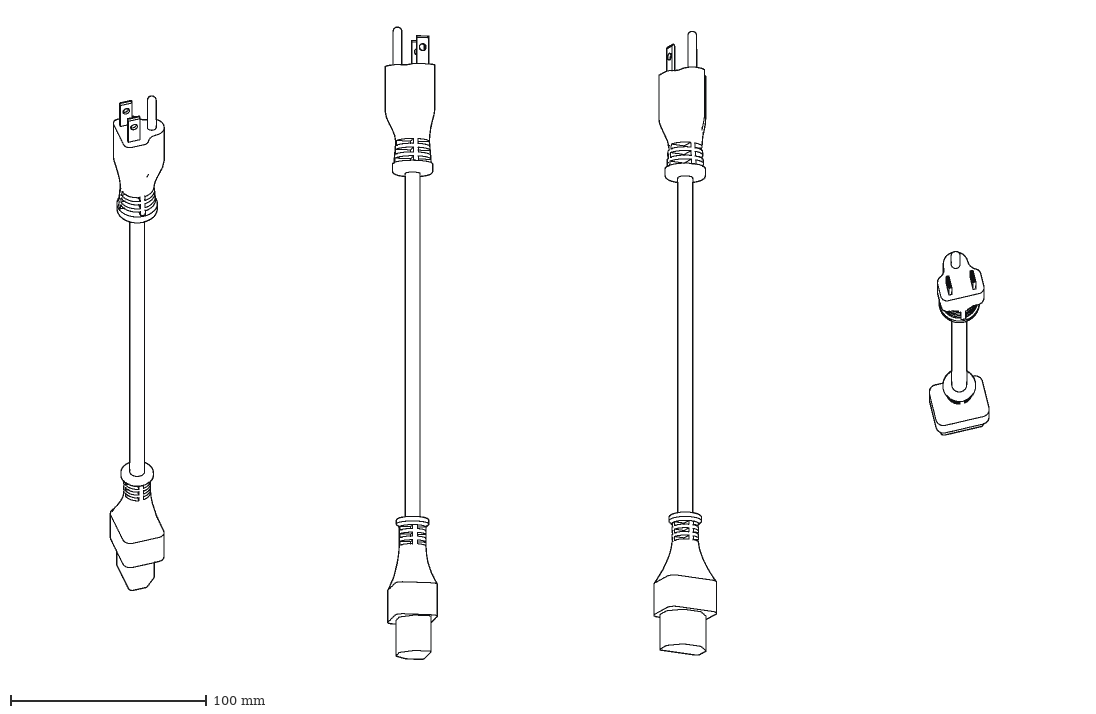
import cadquery as cq
import math


cord_diameter = 7.7
cord_length = 180.6

insert_width = 22.8
insert_depth = 15.7
insert_height = 18.5
insert_corner_radius = 2.0
insert_chamfer = 6.4
shell_width = 28.0
shell_depth = 22.0
shell_height = 16.7
shell_corner_radius = 4.0
connector_taper_height = 21.6
connector_neck_radius = 6.9
connector_slot_height = 2.0
connector_slot_pitch = 3.95
flange_radius = 8.4
flange_cone_height = 1.6
flange_rim_height = 2.6
flange_fillet = 0.9

plug_width = 22.8
plug_front = 10.0
plug_corner_radius = 3.3
ground_offset = 7.9
ground_lobe_radius = 6.4
plug_block_height = 22.7
plug_taper_height = 15.95
boot_top_radius = 8.7
boot_bottom_radius = 9.7
plug_slot_height = 2.55
plug_slot_pitch = 4.6
collar_radius = 10.4
collar_height = 4.9
collar_fillet = 1.4

ground_pin_diameter = 4.6
ground_pin_length = 20.89
blade_spacing = 12.7
ground_to_blades = 11.9
blade_width = 6.35
blade_thickness = 1.5
blade_length = 15.5
blade_tip_bevel = 0.5
blade_tip_height = 1.0
blade_hole_diameter = 3.5
blade_hole_below_tip = 5.9

slot_count = 3
spine_width = 2.5

shell_z = insert_height
connector_taper_z = shell_z + shell_height
connector_neck_z = connector_taper_z + connector_taper_height
connector_neck_height = (slot_count - 1) * connector_slot_pitch + connector_slot_height
flange_z = connector_neck_z + connector_neck_height
cord_z = flange_z + flange_cone_height + flange_rim_height
plug_z = cord_z + cord_length
boot_z = plug_z + collar_height
boot_height = (slot_count - 1) * plug_slot_pitch + plug_slot_height
plug_taper_z = boot_z + boot_height
plug_block_z = plug_taper_z + plug_taper_height
plug_face_z = plug_block_z + plug_block_height


def arc_point(center, radius, degrees):
    angle = math.radians(degrees)
    return (center[0] + radius * math.cos(angle), center[1] + radius * math.sin(angle))


def midpoint(a, b):
    return ((a[0] + b[0]) / 2, (a[1] + b[1]) / 2)


def chain_from_arcs(arcs):
    """Chain arcs (start, middle, end) in order, adding straight edges across the gaps."""
    gap_tolerance = 1e-6
    chain = []
    for index, (start, middle, end) in enumerate(arcs):
        chain.append((start, middle, True))
        following = arcs[(index + 1) % len(arcs)][0]
        if math.dist(end, following) > gap_tolerance:
            chain.append((end, midpoint(end, following), False))
    return chain


def arc(center, radius, first_angle, last_angle):
    angles = (first_angle, (first_angle + last_angle) / 2, last_angle)
    return tuple(arc_point(center, radius, angle) for angle in angles)


def shell_outline():
    x = shell_width / 2 - shell_corner_radius
    y = shell_depth / 2 - shell_corner_radius
    centers = [(x, y), (-x, y), (-x, -y), (x, -y)]
    corners = []
    for quarter, center in enumerate(centers):
        corners.append(arc(center, shell_corner_radius, 90 * quarter, 90 * quarter + 90))
    return chain_from_arcs(corners)


def plug_outline():
    """Flat front with round corners; each side runs through an S of two arcs into the ground lobe."""
    half_width = plug_width / 2
    sweep = 2 * math.atan((half_width - ground_lobe_radius) / ground_offset)
    degrees = math.degrees(sweep)
    r = plug_corner_radius
    neck_radius = ground_offset / math.sin(sweep) - r
    x = half_width - r
    y = r - plug_front
    neck_x = ground_lobe_radius + neck_radius
    arcs = [
        arc((x, 0), r, 0, degrees),
        arc((neck_x, ground_offset), neck_radius, 180 + degrees, 180),
        arc((0, ground_offset), ground_lobe_radius, 0, 180),
        arc((-neck_x, ground_offset), neck_radius, 0, -degrees),
        arc((-x, 0), r, 180 - degrees, 180),
        arc((-x, y), r, 180, 270),
        arc((x, y), r, 270, 360),
    ]
    return chain_from_arcs(arcs)


def outline_wire(chain, z):
    edges = []
    for index, (start, middle, is_arc) in enumerate(chain):
        end = chain[(index + 1) % len(chain)][0]
        a, m, b = (cq.Vector(p[0], p[1], z) for p in (start, middle, end))
        edges.append(cq.Edge.makeThreePointArc(a, m, b) if is_arc else cq.Edge.makeLine(a, b))
    return cq.Wire.assembleEdges(edges)


def prism(chain, z, height):
    return cq.Workplane(cq.Solid.extrudeLinear(outline_wire(chain, z), [], cq.Vector(0, 0, height)))


def toward_circle(point, radius, share):
    """Move a point along its ray from the axis, by a share of its way to the circle."""
    distance = math.hypot(*point)
    scale = 1 + share * (radius / distance - 1)
    return (point[0] * scale, point[1] * scale)


def taper(chain, radius, outline_z, circle_z, roundness):
    """Loft from an outline to a circle; roundness gives the share of circle along the way."""
    steps = 5
    wires = []
    for step in range(steps + 1):
        way = step / steps
        share = roundness(way)
        z = outline_z + way * (circle_z - outline_z)
        section = []
        for start, middle, is_arc in chain:
            section.append((
                toward_circle(start, radius, share),
                toward_circle(middle, radius, share),
                is_arc or step > 0,
            ))
        wires.append(outline_wire(section, z))
    return cq.Workplane(cq.Solid.makeLoft(wires))


def flaring(way):
    flare_power = 1.6
    return 1 - (1 - way) ** flare_power


def s_curve(way):
    return way * way * (3 - 2 * way)


def slots(first_z, pitch, height, reach):
    """Strain-relief slots: all four quadrants at each level, leaving a cross between them."""
    corner = (reach + spine_width) / 2
    quadrants = [(sx * corner, sy * corner) for sx in (-1, 1) for sy in (-1, 1)]
    cut = cq.Workplane()
    for level in range(slot_count):
        plane = cq.Workplane("XY", origin=(0, 0, first_z + level * pitch))
        cut = cut.add(plane.pushPoints(quadrants).rect(reach, reach).extrude(height))
    return cut.combine()


def make_connector():
    insert = (
        cq.Workplane("XY")
        .rect(insert_width, insert_depth)
        .extrude(shell_z)
        .edges("|Z and >Y")
        .chamfer(insert_chamfer)
        .edges("|Z")
        .fillet(insert_corner_radius)
    )
    shell = prism(shell_outline(), shell_z, shell_height)
    flare = taper(shell_outline(), connector_neck_radius, connector_taper_z, connector_neck_z, flaring)
    neck = (
        cq.Workplane("XY", origin=(0, 0, connector_neck_z))
        .circle(connector_neck_radius)
        .extrude(connector_neck_height)
        .cut(slots(connector_neck_z, connector_slot_pitch, connector_slot_height, flange_radius))
    )
    rim_z = flange_z + flange_cone_height
    flange = (
        cq.Workplane("XZ")
        .moveTo(0, flange_z)
        .lineTo(connector_neck_radius, flange_z)
        .lineTo(flange_radius, rim_z)
        .lineTo(flange_radius, cord_z)
        .lineTo(0, cord_z)
        .close()
        .revolve(360, (0, 0, 0), (0, 1, 0))
        .faces(">Z")
        .edges()
        .fillet(flange_fillet)
    )
    return insert.union(shell).union(flare).union(neck).union(flange)


def make_cord():
    return cq.Workplane("XY", origin=(0, 0, cord_z)).circle(cord_diameter / 2).extrude(cord_length)


def make_boot():
    collar = (
        cq.Workplane("XY", origin=(0, 0, plug_z))
        .circle(collar_radius)
        .extrude(collar_height)
        .faces("<Z")
        .edges()
        .fillet(collar_fillet)
    )
    sleeve = (
        cq.Workplane("XY", origin=(0, 0, boot_z))
        .circle(boot_bottom_radius)
        .workplane(offset=boot_height)
        .circle(boot_top_radius)
        .loft()
        .cut(slots(boot_z, plug_slot_pitch, plug_slot_height, collar_radius))
    )
    return collar.union(sleeve)


def make_ground_pin():
    radius = ground_pin_diameter / 2
    shank_length = ground_pin_length - radius
    shank = cq.Workplane("XY").circle(radius).extrude(shank_length)
    tip = cq.Workplane("XY").sphere(radius).translate((0, 0, shank_length))
    return shank.union(tip).translate((0, ground_offset, plug_face_z))


def make_blade(x):
    y = ground_offset - ground_to_blades
    half = blade_thickness / 2
    tip_half = half - blade_tip_bevel
    shoulder = blade_length - blade_tip_height
    hole = (
        cq.Workplane("YZ")
        .center(0, blade_length - blade_hole_below_tip)
        .circle(blade_hole_diameter / 2)
        .extrude(blade_thickness, both=True)
    )
    return (
        cq.Workplane("XZ")
        .polyline([
            (-half, 0), (half, 0), (half, shoulder),
            (tip_half, blade_length), (-tip_half, blade_length), (-half, shoulder),
        ])
        .close()
        .extrude(blade_width / 2, both=True)
        .cut(hole)
        .translate((x, y, plug_face_z))
    )


def make_plug():
    plug = prism(plug_outline(), plug_block_z, plug_block_height)
    plug = plug.union(taper(plug_outline(), boot_top_radius, plug_block_z, plug_taper_z, s_curve))
    plug = plug.union(make_boot())
    plug = plug.union(make_ground_pin())
    for side in (-1, 1):
        plug = plug.union(make_blade(side * blade_spacing / 2))
    return plug


connector = make_connector()
cord = make_cord()
plug = make_plug()

result = cq.Compound.makeCompound([connector.solids().val(), cord.solids().val(), plug.solids().val()])